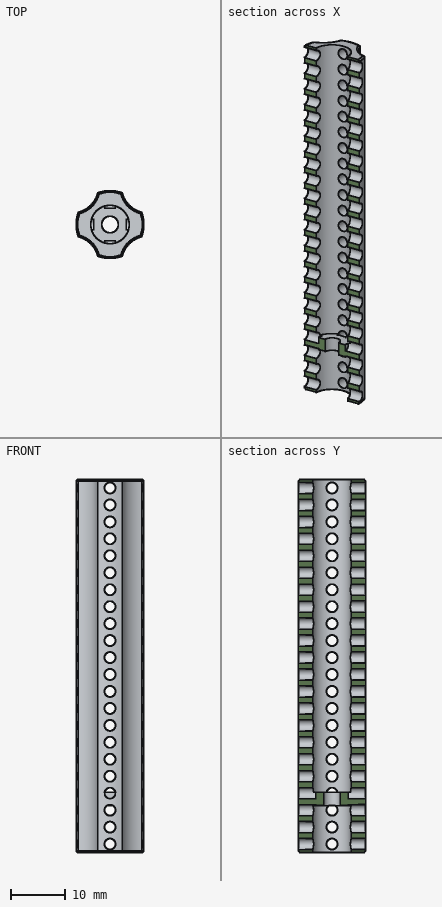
import cadquery as cq
import math

length = 68.75
outer_radius = 12.5 / 2
end_chamfer = 0.3

lobe_count = 4
lobe_half_width = 2.3
flute_floor_radius = 5.0

bore_diameter = 7.1
partition_bottom = 8.65
partition_top = 11.15
partition_hole_diameter = 3.0

hole_diameter = 2.0
holes_per_row = 22
hole_pitch = length / holes_per_row
hole_end_radius = 3.0


def polar(radius, angle):
    """Point in the XY plane at a radius and an angle in radians."""
    return radius * math.cos(angle), radius * math.sin(angle)


def make_body():
    """Lobed bar with chamfered ends."""
    lobe_step = 2 * math.pi / lobe_count
    lobe_half_angle = math.asin(lobe_half_width / outer_radius)
    outline = cq.Workplane("XY").moveTo(*polar(outer_radius, -lobe_half_angle))
    for index in range(lobe_count):
        lobe_angle = index * lobe_step
        next_lobe_angle = lobe_angle + lobe_step
        outline = outline.threePointArc(
            polar(outer_radius, lobe_angle),
            polar(outer_radius, lobe_angle + lobe_half_angle),
        )
        outline = outline.threePointArc(
            polar(flute_floor_radius, lobe_angle + lobe_step / 2),
            polar(outer_radius, next_lobe_angle - lobe_half_angle),
        )
    bar = outline.close().extrude(length)
    return bar.faces("<Z or >Z").chamfer(end_chamfer)


def make_axial_cylinder(diameter, bottom, top):
    """Cylinder on the Z axis between two heights."""
    return cq.Workplane("XY").workplane(offset=bottom).circle(diameter / 2).extrude(top - bottom)


def make_hole_row():
    """Row of hole cutters through the lobe on the +X side."""
    centers = [(0, (index + 0.5) * hole_pitch) for index in range(holes_per_row)]
    return (
        cq.Workplane("YZ")
        .workplane(offset=hole_end_radius)
        .pushPoints(centers)
        .circle(hole_diameter / 2)
        .extrude(outer_radius - hole_end_radius)
    )


result = make_body()
result = result.cut(make_axial_cylinder(bore_diameter, 0, partition_bottom))
result = result.cut(make_axial_cylinder(bore_diameter, partition_top, length))
result = result.cut(make_axial_cylinder(partition_hole_diameter, partition_bottom, partition_top))

hole_row = make_hole_row()
for index in range(lobe_count):
    row_angle = index * 360 / lobe_count
    result = result.cut(hole_row.rotate((0, 0, 0), (0, 0, 1), row_angle))